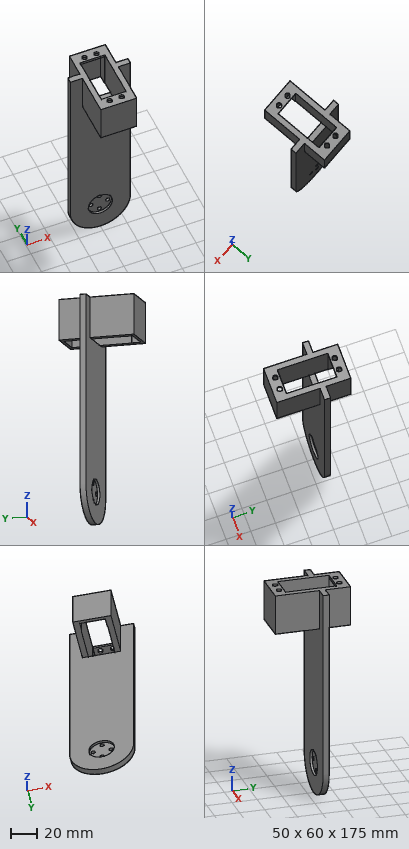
import cadquery as cq

total_height = 175.0
plate_width = 50.0
plate_thickness = 4.9
plate_front_y = 5.0
end_radius = plate_width / 2

box_width = 30.0
box_depth = 60.0
box_height = 32.0
box_bottom_z = total_height - box_height
opening_width = 20.6
opening_depth = 40.8

lip_height = 2.1
hollow_width = 20.0
hollow_end_wall = 2.5
hollow_depth = box_depth - 2 * hollow_end_wall

screw_diameter = 4.0
screw_spacing_x = 10.0
screw_spacing_y = 48.1

recess_diameter = 20.0
recess_depth = 2.0
horn_hole_diameter = 3.2
horn_hole_circle_radius = 7.0
horn_hole_count = 4


def arm_plate():
    """Upright plate, its front face at plate_front_y, with a half-round lower end."""
    return (
        cq.Workplane("XZ", origin=(0, plate_front_y, 0))
        .moveTo(-end_radius, total_height)
        .lineTo(-end_radius, end_radius)
        .threePointArc((0, 0), (end_radius, end_radius))
        .lineTo(end_radius, total_height)
        .close()
        .extrude(-plate_thickness)
    )


def box_block(width, depth, height=box_height):
    """Centred block rising from the bottom of the servo box."""
    return cq.Workplane("XY", origin=(0, 0, box_bottom_z)).rect(width, depth).extrude(height)


def box_screw_holes():
    """Four vertical holes through the end walls of the box."""
    return (
        cq.Workplane("XY", origin=(0, 0, box_bottom_z))
        .rarray(screw_spacing_x, screw_spacing_y, 2, 2)
        .circle(screw_diameter / 2)
        .extrude(box_height)
    )


def horn_cut():
    """Shallow round recess in the front face with a ring of through holes."""
    front = cq.Workplane("XZ", origin=(0, plate_front_y, end_radius))
    recess = front.circle(recess_diameter / 2).extrude(-recess_depth)
    holes = (
        front.polarArray(horn_hole_circle_radius, 0, 360, horn_hole_count)
        .circle(horn_hole_diameter / 2)
        .extrude(-plate_thickness)
    )
    return recess.union(holes)


result = (
    arm_plate()
    .union(box_block(box_width, box_depth))
    .cut(box_block(opening_width, opening_depth))
    .cut(box_block(hollow_width, hollow_depth, box_height - lip_height))
    .cut(box_screw_holes())
    .cut(horn_cut())
)